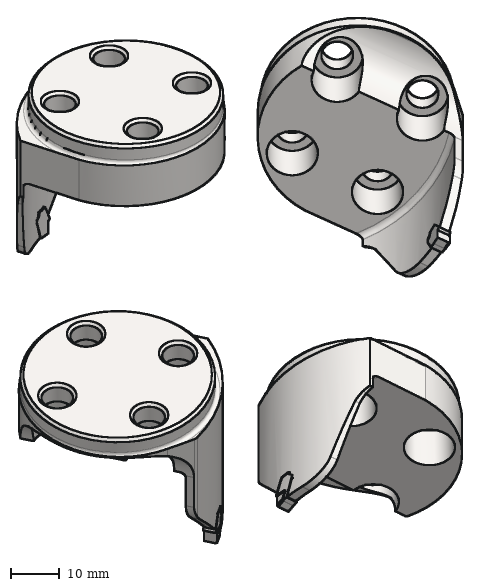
import cadquery as cq
import math


disc_radius = 40.0 / 2
disc_chamfer = 0.65
shelf_z = -4.5
neck_radius = 1.0

body_radius = 20.55
body_center = (-0.2, -0.2)
flat_y = -20.75
flange_bottom_z = -14.45
leg_bottom_z = -40.5
leg_outer_radius = 30.1
leg_outer_x = -21.15
leg_inner_radius = 35.3
leg_inner_x = -18.9
leg_corner_y = 9.1
leg_corner_fillet = 1.75
leg_root_fillet = 1.25

leg_side_y = 9.45
scoop_radius = 10.5
scoop_z = -15.15
slant_top_z = -25.9
slant_bottom_y = -2.55
slant_fillet = 7.0
heel_top_z = -18.2
heel_bend = (-18.35, -21.85)
heel_bend_mid = (-19.35, -19.9)
heel_foot_y = -12.15
heel_fillet = 7.0

hole_diameter = 6.5
hole_spacing = 19.77
hole_chamfer = 0.65
counterbore_diameter = 10.5
counterbore_top_z = -4.6

insert_inner_x = -18.55
insert_face_x = -21.28
tip_face_x = -21.45
insert_bottom_z = -41.0
tip_front = (0.13, -38.05)
tip_back = (-2.5, -38.45)
tip_heel = (-1.67, -40.75)
tip_chamfer = 0.35

margin = 4.2


def arc_x(edge_x, radius, y):
    """X of an arc that bulges toward -X and is centred on Y = 0."""
    return edge_x + radius - math.sqrt(radius**2 - y**2)


def tangent_point(point, center, radius):
    """Point where the line from an outside point touches the circle on its +Y side."""
    dx = point[0] - center[0]
    dy = point[1] - center[1]
    angle = math.atan2(dy, dx) - math.acos(radius / math.hypot(dx, dy))
    return (center[0] + radius * math.cos(angle), center[1] + radius * math.sin(angle))


def side_prism(outline, x_start, x_end):
    """Extrude an outline of (Y, Z) points along X."""
    return cq.Workplane("YZ", origin=(x_start, 0, 0)).polyline(outline).close().extrude(x_end - x_start)


def make_plan_block():
    """Flange and leg cut from the same plan outline, from the shelf to the leg bottom."""
    corner = (arc_x(leg_outer_x, leg_outer_radius, leg_corner_y), leg_corner_y)
    touch = tangent_point(corner, body_center, body_radius)
    flat_half = math.sqrt(body_radius**2 - (flat_y - body_center[1]) ** 2)
    block = (
        cq.Workplane("XY", origin=(0, 0, leg_bottom_z))
        .moveTo(arc_x(leg_outer_x, leg_outer_radius, flat_y), flat_y)
        .lineTo(body_center[0] + flat_half, flat_y)
        .threePointArc((body_center[0] + body_radius, body_center[1]), touch)
        .lineTo(*corner)
        .threePointArc((leg_outer_x, 0), (arc_x(leg_outer_x, leg_outer_radius, flat_y), flat_y))
        .close()
        .extrude(shelf_z - leg_bottom_z)
    )
    corner_edge = cq.selectors.NearestToPointSelector((*corner, (shelf_z + leg_bottom_z) / 2))
    return block.edges(corner_edge).fillet(leg_corner_fillet)


def make_leg_clearance():
    """Space under the flange, with its upper edge rounded along the leg."""
    space = (
        cq.Workplane("XY", origin=(leg_inner_x + leg_inner_radius, 0, leg_bottom_z - margin))
        .circle(leg_inner_radius)
        .extrude(flange_bottom_z - leg_bottom_z + margin)
    )
    return space.faces(">Z").edges().fillet(leg_root_fillet)


def make_side_outline():
    """Shape of flange and leg as seen along X."""
    reach = body_radius + margin
    scoop_y = leg_side_y + scoop_radius
    scoop_top_z = scoop_z + scoop_radius
    diagonal = scoop_radius * math.sqrt(0.5)
    profile = (
        cq.Workplane("YZ", origin=(-reach, 0, 0))
        .moveTo(flat_y, shelf_z)
        .lineTo(reach, shelf_z)
        .lineTo(reach, scoop_top_z)
        .lineTo(scoop_y, scoop_top_z)
        .threePointArc((scoop_y - diagonal, scoop_z + diagonal), (leg_side_y, scoop_z))
        .lineTo(leg_side_y, slant_top_z)
        .lineTo(slant_bottom_y, leg_bottom_z)
        .lineTo(heel_foot_y, leg_bottom_z)
        .lineTo(*heel_bend)
        .threePointArc(heel_bend_mid, (flat_y, heel_top_z))
        .close()
        .extrude(2 * reach)
    )
    slant_corner = cq.selectors.NearestToPointSelector((0, leg_side_y, slant_top_z))
    heel_corner = cq.selectors.NearestToPointSelector((0, heel_foot_y, leg_bottom_z))
    return profile.edges(slant_corner).fillet(slant_fillet).edges(heel_corner).fillet(heel_fillet)


def make_disc():
    """Chamfered disc whose hollow neck spreads out to the shelf."""
    neck_top_z = shelf_z + neck_radius
    neck_bend = neck_radius * (1 - math.sqrt(0.5))
    return (
        cq.Workplane("XZ")
        .moveTo(0, 0)
        .lineTo(disc_radius - disc_chamfer, 0)
        .lineTo(disc_radius, -disc_chamfer)
        .lineTo(disc_radius, neck_top_z)
        .threePointArc((disc_radius + neck_bend, shelf_z + neck_bend), (disc_radius + neck_radius, shelf_z))
        .lineTo(0, shelf_z)
        .close()
        .revolve(360, (0, 0, 0), (0, 1, 0))
    )


def make_hole_cutters():
    """Four through holes with a chamfered mouth and a counterbore from below."""
    radius = hole_diameter / 2
    counterbore_radius = counterbore_diameter / 2
    holes = cq.Workplane("XY")
    for x_side in (-1, 1):
        for y_side in (-1, 1):
            hole = (
                cq.Workplane("XZ")
                .polyline([
                    (0, 0),
                    (radius + hole_chamfer, 0),
                    (radius, -hole_chamfer),
                    (radius, counterbore_top_z),
                    (counterbore_radius, counterbore_top_z),
                    (counterbore_radius, flange_bottom_z - margin),
                    (0, flange_bottom_z - margin),
                ])
                .close()
                .revolve(360, (0, 0, 0), (0, 1, 0))
                .translate((x_side * hole_spacing / 2, y_side * hole_spacing / 2, 0))
            )
            holes = holes.add(hole)
    return holes


def make_leg_cylinder(face_x):
    """Upright cylinder concentric with the outside of the leg, reaching out to face_x."""
    center_x = leg_outer_x + leg_outer_radius
    return (
        cq.Workplane("XY", origin=(center_x, 0, insert_bottom_z - margin))
        .circle(center_x - face_x)
        .extrude(margin - insert_bottom_z)
    )


def make_insert():
    """Cutting insert: a shank with a slightly raised tip, both curved like the leg."""
    shank_outline = [
        (-1.15, -33.85),
        (-3.5, -33.85),
        (-3.5, -34.5),
        (-4.4, -35.32),
        (-4.4, -36.07),
        (-2.85, -40.65),
        tip_heel,
        tip_back,
        tip_front,
        (0.7, -37.6),
    ]
    tip_outline = [
        tip_front,
        tip_back,
        tip_heel,
        (tip_front[0], insert_bottom_z),
    ]
    shank = side_prism(shank_outline, insert_face_x, insert_inner_x)
    tip = side_prism(tip_outline, tip_face_x, insert_inner_x)
    lower_edge = cq.selectors.NearestToPointSelector(
        (tip_face_x, (tip_front[0] + tip_heel[0]) / 2, (insert_bottom_z + tip_heel[1]) / 2)
    )
    tip = tip.edges(lower_edge).chamfer(tip_chamfer)
    shank = shank.intersect(make_leg_cylinder(insert_face_x))
    tip = tip.intersect(make_leg_cylinder(tip_face_x))
    return shank.union(tip)


def make_holder(insert):
    """Disc, flange and leg in one piece, with a seat for the insert."""
    base = make_plan_block().cut(make_leg_clearance()).intersect(make_side_outline())
    body_limit = make_plan_block().translate((0, 0, -shelf_z))
    neck_and_disc = make_disc().intersect(body_limit)
    holder = base.union(neck_and_disc)
    for hole in make_hole_cutters().vals():
        holder = holder.cut(cq.Workplane(hole))
    return holder.cut(insert)


cutting_insert = make_insert()
holder = make_holder(cutting_insert)
result = cq.Compound.makeCompound([holder.solids().val(), cutting_insert.solids().val()])